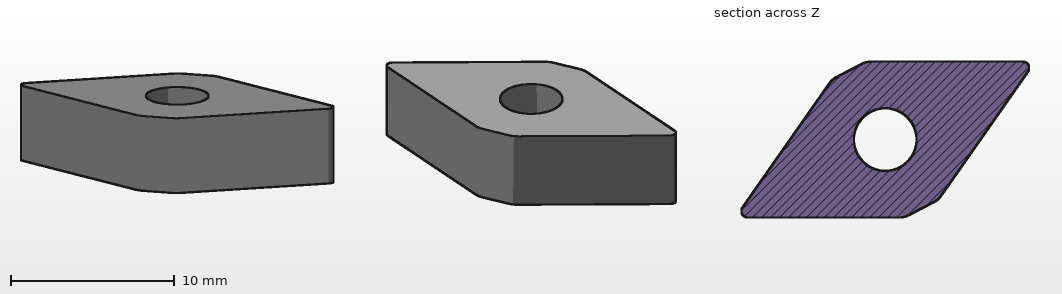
import cadquery as cq
import math

inscribed_diameter = 9.525
thickness = 4.76
acute_angle = 55.0
nose_radius = 0.4
hole_diameter = 3.81

corner_setback = 1.32
corner_blend_radius = 1.2

half_height = inscribed_diameter / 2
acute_x = half_height / math.tan(math.radians(acute_angle / 2))
obtuse_x = half_height * math.tan(math.radians(acute_angle / 2))
slant_x = corner_setback * math.cos(math.radians(acute_angle))
slant_y = corner_setback * math.sin(math.radians(acute_angle))


def insert_body():
    """Rhombic prism with cut obtuse corners, before rounding."""
    lower_half = [
        (-acute_x, -half_height),
        (obtuse_x - corner_setback, -half_height),
        (obtuse_x + slant_x, -half_height + slant_y),
    ]
    upper_half = [(-x, -y) for x, y in lower_half]
    return cq.Workplane("XY").polyline(lower_half + upper_half).close().extrude(thickness)


def round_vertical_edges(body):
    """Round the acute noses, then blend the ends of the corner cuts."""
    noses = body.edges("|Z").edges("<X or >X")
    body = noses.fillet(nose_radius)
    reach = obtuse_x + corner_setback
    cut_ends = cq.selectors.BoxSelector(
        (-reach, -inscribed_diameter, -thickness),
        (reach, inscribed_diameter, 2 * thickness),
    )
    return body.edges("|Z").edges(cut_ends).fillet(corner_blend_radius)


def cut_mounting_hole(body):
    """Central through hole."""
    return body.faces(">Z").workplane(origin=(0, 0, thickness)).hole(hole_diameter)


result = cut_mounting_hole(round_vertical_edges(insert_body()))